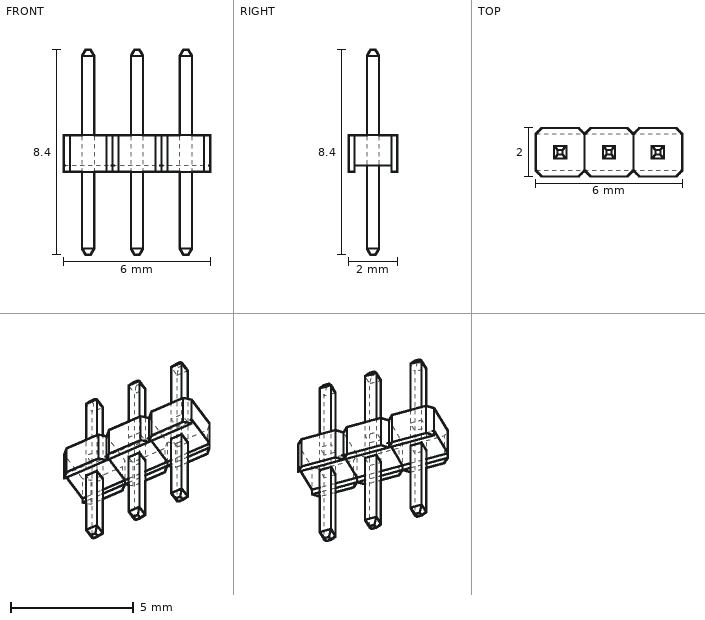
import cadquery as cq

PIN_COUNT = 3
PITCH = 2.0
PIN_LENGTH = 8.4
PIN_WIDTH = 0.5
TIP_WIDTH = 0.2
TIP_HEIGHT = 0.26
HOUSING_BOTTOM = 3.4
HOUSING_HEIGHT = 1.495
CORNER_CHAMFER = 0.25
CHANNEL_DEPTH = 0.25

CHANNEL_WIDTH = PITCH - 2 * CORNER_CHAMFER
SHAFT_LENGTH = PIN_LENGTH - 2 * TIP_HEIGHT


def square_bar(width, length, bottom):
    """Square bar standing on the Z axis from the given height."""
    return cq.Workplane("XY").workplane(offset=bottom).rect(width, width).extrude(length)


def make_pin():
    """Square pin with a truncated pyramid at both ends."""
    shaft = square_bar(PIN_WIDTH, SHAFT_LENGTH, TIP_HEIGHT)
    lower_tip = (
        cq.Workplane("XY")
        .rect(TIP_WIDTH, TIP_WIDTH)
        .workplane(offset=TIP_HEIGHT)
        .rect(PIN_WIDTH, PIN_WIDTH)
        .loft(ruled=True)
    )
    upper_tip = lower_tip.mirror("XY", (0, 0, PIN_LENGTH / 2))
    return shaft.union(lower_tip).union(upper_tip)


def make_housing():
    """Chamfered square block with an underside channel and a square pin hole."""
    block = square_bar(PITCH, HOUSING_HEIGHT, HOUSING_BOTTOM).edges("|Z").chamfer(CORNER_CHAMFER)
    channel = (
        cq.Workplane("XY")
        .workplane(offset=HOUSING_BOTTOM)
        .rect(PITCH, CHANNEL_WIDTH)
        .extrude(CHANNEL_DEPTH)
    )
    pin_hole = square_bar(PIN_WIDTH, HOUSING_HEIGHT, HOUSING_BOTTOM)
    return block.cut(channel).cut(pin_hole)


bodies = []
for index in range(PIN_COUNT):
    x_position = (index - (PIN_COUNT - 1) / 2) * PITCH
    housing = make_housing().translate((x_position, 0, 0))
    pin = make_pin().translate((x_position, 0, 0))
    bodies += [housing.val(), pin.val()]

result = cq.Compound.makeCompound(bodies)